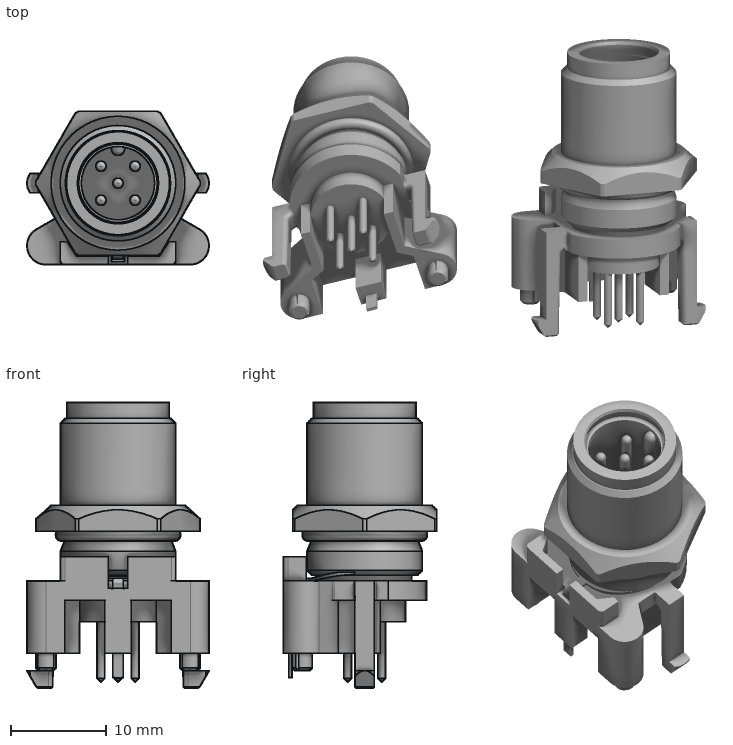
import cadquery as cq
import math

hook_top_z = 1.85
leg_bottom_z = 3.67
hub_bottom_z = 6.95
plate_bottom_z = 9.18
slot_floor_z = 10.43
plate_top_z = 11.2
barrel_bottom_z = 11.77
wall_top_z = 13.75
groove_bottom_z = 14.27
seal_bottom_z = 15.35
nut_bottom_z = 16.35
nut_top_z = 19.1
shoulder_z = 28.15
total_height = 29.8
overlap = 0.3

barrel_radius = 6.02
barrel_chamfer = 0.55
neck_radius = 4.92
rim_radius = 5.35
groove_radius = 5.6
bore_radius = 3.8
bore_floor_z = nut_top_z
mouth_radius = 4.23
mouth_throat_radius = 4.08
mouth_throat_z = 29.5
undercut_radius = 4.32
undercut_floor_z = 28.45

nut_half_flats = 7.5
nut_corner_radius = 8.55
nut_top_radius = 6.97
nut_chamfer_height = 1.43
seal_section_radius = 0.65
seal_outer_radius = 6.53

pin_spacing = 3.55
pin_offset = pin_spacing / 2
plug_pin_radius = 0.55
plug_pin_tip_z = 27.25
plug_pin_rounding = 0.48
solder_pin_radius = 0.42
solder_pin_tip_z = 0.65
key_radius = 0.7
key_centre_y = 3.58
key_top_z = 28.05

body_width = 18.98
plate_radius = 6.47
plate_half_width = 6.0
plate_corner_radius = 0.2
hub_radius = 4.25
lobe_x = 7.5
lobe_radius = body_width / 2 - lobe_x
front_y = -8.5
lobe_y = front_y + lobe_radius
arm_angle = math.radians(30)
leg_thickness = 0.98
leg_outer_x = 4.98
leg_inner_x = leg_outer_x - leg_thickness
leg_back_y = 1.65
opening_half_width = 5.55
centre_leg_half_width = 1.37
centre_leg_depth = 2.15
peg_radius = 1.07
peg_chamfer = 0.3
peg_notch_radius = 0.77
peg_notch_angles = (90, 210, 330)

wall_half_width = 6.02
wall_back_y = -6.08
wall_corner_radius = 0.48
recess_y = -7.6
recess_half_width = 4.32
recess_flare = 0.98
slot_half_width = 1.0

tab_half_width = 0.57
tab_thickness = 0.35
tab_bend_radius = 0.6
tab_front_y = -7.93
tab_bottom_z = 1.13
contact_top_z = 11.5
bar_end_y = -5.48
spring_end_y = -1.0
spring_end_z = 12.25
spring_bow = 0.7
spring_radius = 5.8
hole_half_width = 0.65
hole_front_y = -8.15

hook_half_width = 1.0
hook_tip_x = body_width / 2
hook_toe_x = 8.43
hook_outer_x = 8.28
hook_inner_x = 6.8
hook_root_x = 6.65
hook_fillet = 0.18
hook_toe_chamfer = 0.18
hook_edge_radius = 0.48
hook_nose_radius = 1.67


def box(x0, x1, y0, y1, z0, z1):
    return cq.Workplane("XY").box(x1 - x0, y1 - y0, z1 - z0, centered=False).translate((x0, y0, z0))


def disc(radius, z0, z1, x=0.0, y=0.0):
    return cq.Workplane("XY", origin=(x, y, z0)).circle(radius).extrude(z1 - z0)


def turned(points):
    """Revolve a half profile of (radius, z) points about the Z axis."""
    return cq.Workplane("XZ").polyline(points).close().revolve(360, (0, 0, 0), (0, 1, 0))


def both_sides(shape):
    return shape.union(shape.mirror("YZ"))


def make_barrel():
    small = barrel_radius - barrel_chamfer
    profile = [
        (0, plate_bottom_z),
        (neck_radius, plate_bottom_z),
        (neck_radius, barrel_bottom_z),
        (small, barrel_bottom_z),
        (barrel_radius, barrel_bottom_z + barrel_chamfer),
        (barrel_radius, groove_bottom_z),
        (groove_radius, seal_bottom_z),
        (groove_radius, nut_bottom_z),
        (barrel_radius, nut_bottom_z),
        (barrel_radius, shoulder_z - barrel_chamfer),
        (small, shoulder_z),
        (rim_radius, shoulder_z),
        (rim_radius, total_height),
        (mouth_radius, total_height),
        (mouth_throat_radius, mouth_throat_z),
        (undercut_radius, mouth_throat_z),
        (undercut_radius, undercut_floor_z),
        (bore_radius, undercut_floor_z),
        (bore_radius, bore_floor_z),
        (0, bore_floor_z),
    ]
    return turned(profile)


def make_nut():
    corner_diameter = 2 * nut_half_flats / math.cos(math.pi / 6)
    nut = cq.Workplane("XY", origin=(0, 0, nut_bottom_z)).polygon(6, corner_diameter)
    nut = nut.extrude(nut_top_z - nut_bottom_z)
    envelope = turned([
        (0, nut_bottom_z),
        (nut_corner_radius, nut_bottom_z),
        (nut_corner_radius, nut_top_z - nut_chamfer_height),
        (nut_top_radius, nut_top_z),
        (0, nut_top_z),
    ])
    clearance = disc(bore_radius + overlap, nut_bottom_z, nut_top_z)
    return nut.intersect(envelope).cut(clearance)


def make_seal():
    centre_r = seal_outer_radius - seal_section_radius
    centre_z = seal_bottom_z + seal_section_radius
    ring = cq.Workplane("XZ").center(centre_r, centre_z).circle(seal_section_radius)
    ring = ring.revolve(360, (-centre_r, 0, 0), (-centre_r, 1, 0))
    return ring.intersect(disc(2 * barrel_radius, 0, nut_bottom_z))


def make_pins():
    corners = [(sx * pin_offset, sy * pin_offset) for sx in (-1, 1) for sy in (-1, 1)]
    plug_pin = disc(plug_pin_radius, bore_floor_z - overlap, plug_pin_tip_z)
    plug_pin = plug_pin.faces(">Z").edges().fillet(plug_pin_rounding)
    solder_pin = turned([
        (0, solder_pin_tip_z),
        (solder_pin_radius, solder_pin_tip_z + solder_pin_radius),
        (solder_pin_radius, hub_bottom_z + overlap),
        (0, hub_bottom_z + overlap),
    ])
    pins = cq.Workplane("XY")
    for x, y in corners + [(0, 0)]:
        pins = pins.union(plug_pin.translate((x, y, 0))).union(solder_pin.translate((x, y, 0)))
    return pins


def make_key():
    shoulder = key_top_z - key_radius
    back_y = undercut_radius
    length = back_y - key_centre_y
    key = disc(key_radius, bore_floor_z - overlap, shoulder, y=key_centre_y)
    key = key.union(box(-key_radius, key_radius, key_centre_y, back_y, bore_floor_z - overlap, shoulder))
    key = key.union(cq.Workplane("XY").sphere(key_radius).translate((0, key_centre_y, shoulder)))
    roof = cq.Workplane("XZ", origin=(0, key_centre_y, shoulder)).circle(key_radius).extrude(-length)
    return key.union(roof)


def lobe_outline(start_x, bottom_z, end_x):
    """Outline from the front face around the left lobe and up its sloping flank to x = -end_x."""
    mid = math.pi + arm_angle / 2
    flank_x = -lobe_x - lobe_radius * math.sin(arm_angle)
    flank_y = lobe_y + lobe_radius * math.cos(arm_angle)
    around = (-lobe_x + lobe_radius * math.cos(mid), lobe_y + lobe_radius * math.sin(mid))
    end_y = flank_y + (-end_x - flank_x) * math.tan(arm_angle)
    outline = cq.Workplane("XY", origin=(0, 0, bottom_z)).moveTo(-start_x, front_y)
    outline = outline.lineTo(-lobe_x, front_y).threePointArc(around, (flank_x, flank_y))
    return outline.lineTo(-end_x, end_y), end_y


def make_plate():
    height = plate_top_z - plate_bottom_z
    outline, corner_y = lobe_outline(0, plate_bottom_z, plate_half_width)
    front = both_sides(outline.lineTo(-plate_half_width, 0).lineTo(0, 0).close().extrude(height))
    width = plate_half_width
    round_part = disc(plate_radius, plate_bottom_z, plate_top_z)
    round_part = round_part.intersect(box(-width, width, 0, plate_radius, 0, total_height))
    plate = front.union(round_part)
    for side in (-1, 1):
        corner = cq.selectors.NearestToPointSelector((side * width, corner_y, plate_bottom_z + height / 2))
        plate = plate.edges("|Z").edges(corner).fillet(plate_corner_radius)
    return plate.union(disc(hub_radius, hub_bottom_z, plate_top_z))


def make_peg():
    """Locating peg with three vertical 60 degree V notches."""
    top_z = leg_bottom_z + overlap
    peg = disc(peg_radius, hook_top_z, top_z).faces("<Z").chamfer(peg_chamfer)
    half_opening = peg_radius * math.tan(math.pi / 6)
    notch = cq.Workplane("XY", origin=(0, 0, hook_top_z)).polyline([
        (peg_notch_radius, 0),
        (peg_notch_radius + peg_radius, half_opening),
        (peg_notch_radius + peg_radius, -half_opening),
    ]).close().extrude(leg_bottom_z - hook_top_z)
    for angle in peg_notch_angles:
        peg = peg.cut(notch.rotate((0, 0, 0), (0, 0, 1), angle))
    return peg.translate((-lobe_x, lobe_y, 0))


def make_legs():
    outline, bend_y = lobe_outline(opening_half_width, leg_bottom_z, leg_outer_x)
    inner_bend_y = bend_y - leg_thickness * math.tan(arm_angle)
    inner_start_y = inner_bend_y - (opening_half_width - leg_inner_x) * math.tan(arm_angle)
    outline = outline.lineTo(-leg_outer_x, leg_back_y).lineTo(-leg_inner_x, leg_back_y)
    outline = outline.lineTo(-leg_inner_x, inner_bend_y).lineTo(-opening_half_width, inner_start_y).close()
    leg = outline.extrude(plate_top_z - leg_bottom_z)
    centre = box(-centre_leg_half_width, centre_leg_half_width, front_y, front_y + centre_leg_depth,
                 leg_bottom_z, plate_top_z)
    return both_sides(leg.union(make_peg())).union(centre)


def make_front_wall():
    wall = box(-wall_half_width, wall_half_width, front_y, wall_back_y, plate_top_z, wall_top_z)
    wall = wall.edges("|Z and <Y").fillet(wall_corner_radius)
    wide = recess_half_width + recess_flare
    recess = cq.Workplane("XY", origin=(0, 0, plate_top_z)).polyline([
        (-recess_half_width, recess_y),
        (recess_half_width, recess_y),
        (wide, wall_back_y),
        (-wide, wall_back_y),
    ]).close().extrude(wall_top_z - plate_top_z)
    return wall.cut(recess)


def cut_contact_slot(body):
    tab_back_y = tab_front_y + tab_thickness
    slot = box(-slot_half_width, slot_half_width, front_y, tab_back_y, slot_floor_z, wall_top_z)
    hole = box(-hole_half_width, hole_half_width, hole_front_y, tab_back_y, leg_bottom_z, wall_top_z)
    return body.cut(slot).cut(hole)


def make_contact():
    bar_bottom_z = contact_top_z - tab_thickness
    tab_back_y = tab_front_y + tab_thickness
    bend = tab_bend_radius
    tab = cq.Workplane("YZ", origin=(-tab_half_width, 0, 0)).moveTo(tab_front_y, tab_bottom_z)
    tab = tab.lineTo(tab_back_y, tab_bottom_z).lineTo(tab_back_y, contact_top_z - bend)
    tab = tab.radiusArc((tab_front_y + bend, bar_bottom_z), bend - tab_thickness)
    tab = tab.lineTo(bar_end_y, bar_bottom_z).lineTo(bar_end_y, contact_top_z)
    tab = tab.lineTo(tab_front_y + bend, contact_top_z)
    tab = tab.radiusArc((tab_front_y, contact_top_z - bend), -bend).close().extrude(2 * tab_half_width)

    rise_y = (bar_end_y + spring_end_y) / 2
    rise_z = contact_top_z + spring_bow * (spring_end_z - contact_top_z)
    spring = cq.Workplane("YZ", origin=(-spring_radius, 0, 0)).moveTo(-spring_radius, contact_top_z)
    spring = spring.lineTo(bar_end_y, contact_top_z)
    spring = spring.threePointArc((rise_y, rise_z), (spring_end_y, spring_end_z))
    spring = spring.lineTo(spring_end_y, spring_end_z - tab_thickness)
    spring = spring.threePointArc((rise_y, rise_z - tab_thickness), (bar_end_y, bar_bottom_z))
    spring = spring.lineTo(-spring_radius, bar_bottom_z).close().extrude(2 * spring_radius)
    spring = spring.intersect(disc(spring_radius, plate_bottom_z, nut_bottom_z))
    return tab.union(spring)


def make_hooks():
    root = hook_root_x - plate_half_width
    root_z = plate_bottom_z - root
    profile = cq.Workplane("XZ", origin=(0, hook_half_width, 0)).moveTo(-neck_radius, plate_top_z)
    profile = profile.lineTo(-hook_outer_x, plate_top_z).lineTo(-hook_outer_x, hook_top_z)
    profile = profile.lineTo(-hook_tip_x, hook_top_z).lineTo(-hook_toe_x, 0)
    profile = profile.lineTo(-hook_inner_x, 0).lineTo(-hook_root_x, root_z)
    profile = profile.radiusArc((-plate_half_width, plate_bottom_z), root)
    hook = profile.lineTo(-neck_radius, plate_bottom_z).close().extrude(2 * hook_half_width)
    middle_x = (hook_inner_x + hook_root_x) / 2
    for side in (-1, 1):
        inner_edge = cq.selectors.NearestToPointSelector((-middle_x, side * hook_half_width, root_z / 2))
        hook = hook.edges(inner_edge).fillet(hook_edge_radius)
    hook = hook.faces("<Z").chamfer(hook_toe_chamfer)
    reach = hook_tip_x - hook_nose_radius
    nose = disc(hook_nose_radius, 0, plate_top_z, x=-reach)
    shank = box(-reach, 0, -hook_half_width, hook_half_width, 0, plate_top_z)
    hook = hook.intersect(nose.union(shank))
    fillet = cq.Workplane("XY", origin=(-plate_half_width, hook_half_width, plate_bottom_z))
    fillet = fillet.lineTo(-hook_fillet, 0).radiusArc((0, hook_fillet), -hook_fillet).close()
    fillet = fillet.extrude(plate_top_z - plate_bottom_z)
    return both_sides(hook.union(fillet).union(fillet.mirror("XZ")))


body = make_plate().union(make_legs()).union(make_front_wall()).union(make_hooks())
body = cut_contact_slot(body)
result = make_barrel().union(make_nut()).union(make_seal()).union(make_pins()).union(make_key())
result = result.union(body).union(make_contact())